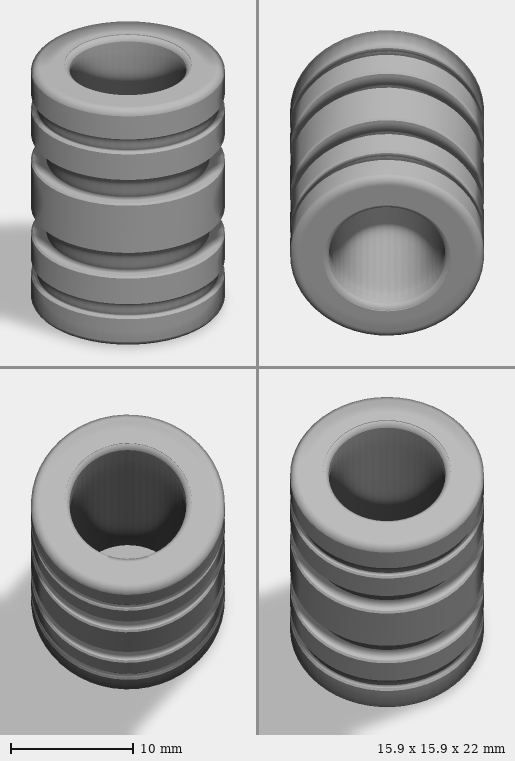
import cadquery as cq

length = 22.03
outer_radius = 7.93
liner_radius = 5.22
bore_radius = 4.78

outer_round_width = 0.7
outer_round_height = 0.5
bore_round_height = 0.37
bore_round_radius = 0.65
liner_recess = 0.07

narrow_groove_radius = 7.47
narrow_groove_width = 1.08
narrow_groove_offset = 7.67
wide_groove_radius = 6.68
wide_groove_width = 2.1
wide_groove_offset = 3.4
groove_edge_chamfer = 0.15

half_length = length / 2


def revolve_about_z(profile):
    """Full turn about Z of a closed profile drawn as (radius, height)."""
    return profile.revolve(360, (0, 0, 0), (0, 1, 0))


def tangent_arc_radius(width, height):
    """Radius of an arc that leaves a flat face tangentially and spans width by height."""
    return (width**2 + height**2) / (2 * height)


def groove_cutter(floor_radius, width, center_z):
    """Groove cutter whose mouth opens out with a chamfer at both rims."""
    half_width = width / 2
    chamfer_start_radius = outer_radius - groove_edge_chamfer
    clear_radius = outer_radius + groove_edge_chamfer
    half_mouth = half_width + clear_radius - chamfer_start_radius
    return revolve_about_z(
        cq.Workplane("XZ")
        .moveTo(floor_radius, center_z - half_width)
        .lineTo(chamfer_start_radius, center_z - half_width)
        .lineTo(clear_radius, center_z - half_mouth)
        .lineTo(clear_radius, center_z + half_mouth)
        .lineTo(chamfer_start_radius, center_z + half_width)
        .lineTo(floor_radius, center_z + half_width)
        .close()
    )


def make_housing():
    """Sleeve with rounded outer rims, and a narrow and a wide groove in each half."""
    face_radius = outer_radius - outer_round_width
    wall_top = half_length - outer_round_height
    round_radius = tangent_arc_radius(outer_round_width, outer_round_height)
    housing = revolve_about_z(
        cq.Workplane("XZ")
        .moveTo(liner_radius, -half_length)
        .lineTo(face_radius, -half_length)
        .radiusArc((outer_radius, -wall_top), -round_radius)
        .lineTo(outer_radius, wall_top)
        .radiusArc((face_radius, half_length), -round_radius)
        .lineTo(liner_radius, half_length)
        .close()
    )
    for side in (-1, 1):
        narrow_groove = groove_cutter(
            narrow_groove_radius, narrow_groove_width, side * narrow_groove_offset
        )
        wide_groove = groove_cutter(wide_groove_radius, wide_groove_width, side * wide_groove_offset)
        housing = housing.cut(narrow_groove).cut(wide_groove)
    return housing


def make_liner():
    """Thin bushing lining the housing, its bore rounded out to the joint at both ends."""
    liner_top = half_length - liner_recess
    wall_top = liner_top - bore_round_height
    return revolve_about_z(
        cq.Workplane("XZ")
        .moveTo(liner_radius, -liner_top)
        .lineTo(liner_radius, liner_top)
        .radiusArc((bore_radius, wall_top), -bore_round_radius)
        .lineTo(bore_radius, -wall_top)
        .radiusArc((liner_radius, -liner_top), -bore_round_radius)
        .close()
    )


housing = make_housing()
liner = make_liner()

result = cq.Compound.makeCompound([housing.val(), liner.val()])